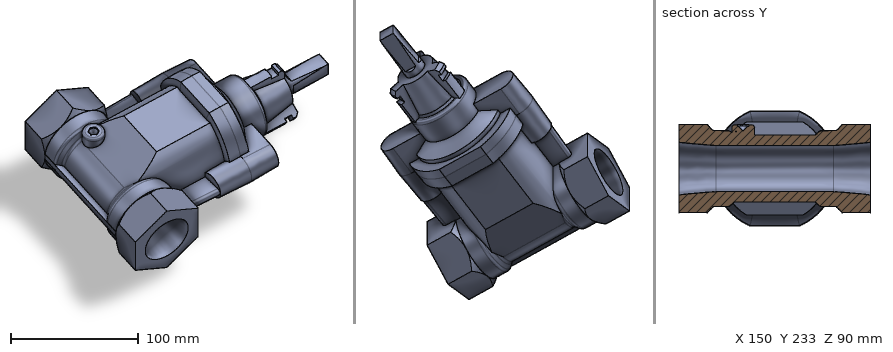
import cadquery as cq
import math

DRAFT = 2.0

END_FACE_X = 75.0
HEX_FLATS = 60.0
HEX_CIRCLE = HEX_FLATS / math.cos(math.pi / 6)
HEX_INNER_X = 48.2
BORE_DIA = 35.9
MOUTH_DIA = 41.0
MOUTH_DEPTH = 29.1

COLLAR_RADIUS = 29.8
COLLAR_INNER_X = 36.8
PIPE_RADIUS = 25.0
NECK_BLEND_RADIUS = 3.7

BODY_RADIUS = 42.6
BODY_FLAT_Z = 36.3
SLOPE_TOP_Y = 27.3
SLOPE_FOOT_Y = -8.5

PARTING_Y = 90.0
FLANGE_RADIUS = 49.0
FLANGE_FLAT_Z = 45.0
FLANGE_TOP_Y = 98.0
FLANGE_BOTTOM_Y = 79.7
UNDERSIDE_HEIGHT = 1.6
LUG_X = 50.3
LUG_RADIUS = 12.3
LUG_TOP_Y = 116.5
LUG_END_OUTER_Y = 61.0
LUG_END_INNER_Y = 59.6

RIB_THICKNESS = 6.5
RIB_BOTTOM_Y = -COLLAR_RADIUS
RIB_INSET = 0.5

SHOULDER_RADIUS = 39.8
SHOULDER_Y = 101.8
NECK_RADIUS = 54.5 / 2
NECK_BOTTOM_Y = 109.3
NECK_TOP_Y = 131.0
NECK_ROUND = 2.8
CONE_FOOT_RADIUS = 22.4
CONE_BASE_RADIUS = 21.0
CONE_BASE_Y = 133.0
CONE_TOP_RADIUS = 16.3
CONE_TOP_Y = 162.0

FIN_COUNT = 3
FIN_WIDTH = 9.3
FIN_RADIUS = 26.8
FIN_BOTTOM_Y = 128.2
FIN_CHAMFER = 3.0
NOTCH_DEPTH = 3.5
NOTCH_TOP_Y = 156.0
NOTCH_BOTTOM_Y = 149.8

STEM_DIA = 18.0
STEM_TOP_Y = CONE_TOP_Y + 41.0
SQUARE_BASE_Y = 168.7
SQUARE_BASE_WIDTH = 15.1
SQUARE_SHOULDER = 1.5
SQUARE_TOP_WIDTH = 12.3

PLUG_X = -24.7
PLUG_DIA = 18.0
PLUG_TOP_Z = 34.5
PLUG_ROUND = 2.3
SOCKET_CIRCLE = 8.6
SOCKET_DEPTH = 1.2


def both_ends(solid):
    """Add the mirror image across the YZ plane."""
    return solid.union(solid.mirror("YZ"))


def round_with_flats(plane, radius, flat):
    """Circle on the plane, cut by straight flats at the given height on both sides."""
    half = math.sqrt(radius**2 - flat**2)
    return (
        plane.moveTo(-half, flat)
        .lineTo(half, flat)
        .threePointArc((radius, 0), (half, -flat))
        .lineTo(-half, -flat)
        .threePointArc((-radius, 0), (-half, flat))
        .close()
    )


def plane_down_from(y):
    """Plane across the stem axis, extruding toward -Y."""
    return cq.Workplane("XZ", origin=(0, y, 0))


def turn_over(solid):
    """Reflect a solid across the parting plane."""
    return solid.mirror("XZ", (0, PARTING_Y, 0))


def hex_end():
    """Right-hand hexagon, its inner corners turned off at 45 degrees."""
    length = END_FACE_X - HEX_INNER_X
    prism = (
        cq.Workplane("YZ", origin=(HEX_INNER_X, 0, 0))
        .transformed(rotate=(0, 0, 90))
        .polygon(6, HEX_CIRCLE)
        .extrude(length)
    )
    flat_radius = HEX_FLATS / 2
    turned = (
        cq.Workplane("XY")
        .polyline([
            (HEX_INNER_X, 0),
            (HEX_INNER_X, flat_radius),
            (END_FACE_X, flat_radius + length),
            (END_FACE_X, 0),
        ])
        .close()
        .revolve(360, (0, 0), (1, 0))
    )
    return prism.intersect(turned)


def half_pipe():
    """Right-hand half of the pipe, stepping up to the collar through two arcs."""
    reach = NECK_BLEND_RADIUS * math.sin(math.pi / 4)
    drop = NECK_BLEND_RADIUS - reach
    mid_reach = NECK_BLEND_RADIUS * math.sin(math.pi / 8)
    mid_drop = NECK_BLEND_RADIUS * (1 - math.cos(math.pi / 8))
    run = COLLAR_RADIUS - PIPE_RADIUS - 2 * drop
    pipe_end_x = COLLAR_INNER_X - 2 * reach - run
    return (
        cq.Workplane("XY")
        .lineTo(0, PIPE_RADIUS)
        .lineTo(pipe_end_x, PIPE_RADIUS)
        .threePointArc(
            (pipe_end_x + mid_reach, PIPE_RADIUS + mid_drop),
            (pipe_end_x + reach, PIPE_RADIUS + drop),
        )
        .lineTo(COLLAR_INNER_X - reach, COLLAR_RADIUS - drop)
        .threePointArc(
            (COLLAR_INNER_X - mid_reach, COLLAR_RADIUS - mid_drop),
            (COLLAR_INNER_X, COLLAR_RADIUS),
        )
        .lineTo(HEX_INNER_X, COLLAR_RADIUS)
        .lineTo(HEX_INNER_X, 0)
        .close()
        .revolve(360, (0, 0), (1, 0))
    )


def half_bore():
    """Right-hand half of the bore with its tapered mouth."""
    return (
        cq.Workplane("XY")
        .polyline([
            (0, 0),
            (0, BORE_DIA / 2),
            (END_FACE_X - MOUTH_DEPTH, BORE_DIA / 2),
            (END_FACE_X, MOUTH_DIA / 2),
            (END_FACE_X, 0),
        ])
        .close()
        .revolve(360, (0, 0), (1, 0))
    )


def body():
    """Round body with two flats that slope in to the pipe."""
    foot_z = math.sqrt(PIPE_RADIUS**2 - SLOPE_FOOT_Y**2)
    side = (
        cq.Workplane("YZ")
        .polyline([
            (PARTING_Y, BODY_FLAT_Z),
            (SLOPE_TOP_Y, BODY_FLAT_Z),
            (SLOPE_FOOT_Y, foot_z),
            (SLOPE_FOOT_Y, -foot_z),
            (SLOPE_TOP_Y, -BODY_FLAT_Z),
            (PARTING_Y, -BODY_FLAT_Z),
        ])
        .close()
        .extrude(BODY_RADIUS, both=True)
    )
    barrel = plane_down_from(PARTING_Y).circle(BODY_RADIUS).extrude(PARTING_Y - SLOPE_FOOT_Y)
    return barrel.intersect(side)


def flange():
    """Round flange with two flats, drafted both ways, with a shallow sloping underside."""
    lower_height = PARTING_Y - FLANGE_BOTTOM_Y
    outline = round_with_flats(plane_down_from(PARTING_Y), FLANGE_RADIUS, FLANGE_FLAT_Z)
    lower = outline.extrude(lower_height, taper=DRAFT)
    outline = round_with_flats(plane_down_from(PARTING_Y), FLANGE_RADIUS, FLANGE_FLAT_Z)
    upper = turn_over(outline.extrude(FLANGE_TOP_Y - PARTING_Y, taper=DRAFT))
    draft_inset = lower_height * math.tan(math.radians(DRAFT))
    rim_flat_z = FLANGE_FLAT_Z - draft_inset
    slope = math.degrees(math.atan2(rim_flat_z - BODY_FLAT_Z, UNDERSIDE_HEIGHT))
    rim = round_with_flats(plane_down_from(FLANGE_BOTTOM_Y), FLANGE_RADIUS - draft_inset, rim_flat_z)
    underside = rim.extrude(UNDERSIDE_HEIGHT, taper=slope)
    return lower.union(upper).union(underside)


def lugs():
    """Round-ended bar above the parting plane and one round lug below each of its ends."""
    bar = turn_over(
        plane_down_from(PARTING_Y)
        .slot2D(2 * (LUG_X + LUG_RADIUS), 2 * LUG_RADIUS)
        .extrude(LUG_TOP_Y - PARTING_Y, taper=DRAFT)
    )
    lug = (
        plane_down_from(PARTING_Y)
        .center(LUG_X, 0)
        .circle(LUG_RADIUS)
        .extrude(PARTING_Y - LUG_END_INNER_Y, taper=DRAFT)
    )
    keep = (
        cq.Workplane("XY")
        .polyline([
            (LUG_X - LUG_RADIUS, PARTING_Y),
            (LUG_X - LUG_RADIUS, LUG_END_INNER_Y),
            (BODY_RADIUS, LUG_END_INNER_Y),
            (LUG_X + LUG_RADIUS, LUG_END_OUTER_Y),
            (LUG_X + LUG_RADIUS, PARTING_Y),
        ])
        .close()
        .extrude(LUG_RADIUS, both=True)
    )
    return bar.union(both_ends(lug.intersect(keep)))


def rib():
    """Flat rib from the pipe underside to the lugs, its outer edges fully rounded."""
    round_radius = RIB_THICKNESS / 2
    top_x = LUG_X + LUG_RADIUS - RIB_INSET - round_radius
    lean = PARTING_Y * math.tan(math.radians(DRAFT))
    base_x = top_x - lean
    plate = (
        cq.Workplane("XY")
        .polyline([
            (-HEX_INNER_X, RIB_BOTTOM_Y),
            (HEX_INNER_X, RIB_BOTTOM_Y),
            (HEX_INNER_X, 0),
            (base_x, 0),
            (top_x, PARTING_Y),
            (-top_x, PARTING_Y),
            (-base_x, 0),
            (-HEX_INNER_X, 0),
        ])
        .close()
        .extrude(round_radius, both=True)
    )
    edge = cq.Solid.makeCylinder(
        round_radius,
        math.hypot(PARTING_Y, lean),
        pnt=cq.Vector(base_x, 0, 0),
        dir=cq.Vector(lean, PARTING_Y, 0),
    )
    return plate.union(both_ends(cq.Workplane(edge)))


def bonnet():
    """Turned bonnet: shoulder, neck and tapered nose."""
    round_mid = NECK_ROUND * (1 - math.cos(math.pi / 4))
    return (
        cq.Workplane("XY")
        .moveTo(0, PARTING_Y)
        .lineTo(SHOULDER_RADIUS, PARTING_Y)
        .lineTo(SHOULDER_RADIUS, SHOULDER_Y)
        .lineTo(NECK_RADIUS, NECK_BOTTOM_Y)
        .lineTo(NECK_RADIUS, NECK_TOP_Y - NECK_ROUND)
        .threePointArc(
            (NECK_RADIUS - round_mid, NECK_TOP_Y - round_mid),
            (NECK_RADIUS - NECK_ROUND, NECK_TOP_Y),
        )
        .lineTo(CONE_FOOT_RADIUS, NECK_TOP_Y)
        .lineTo(CONE_BASE_RADIUS, CONE_BASE_Y)
        .lineTo(CONE_TOP_RADIUS, CONE_TOP_Y)
        .lineTo(0, CONE_TOP_Y)
        .close()
        .revolve(360, (0, 0), (0, 1))
    )


def fins():
    """Notched latch fins with turned outer faces, equally spaced about the stem with one toward +Z."""
    notch_floor = FIN_RADIUS - NOTCH_DEPTH
    fin = (
        cq.Workplane("YZ")
        .polyline([
            (FIN_BOTTOM_Y, 0),
            (FIN_BOTTOM_Y, FIN_RADIUS),
            (NOTCH_BOTTOM_Y, FIN_RADIUS),
            (NOTCH_BOTTOM_Y, notch_floor),
            (NOTCH_TOP_Y, notch_floor),
            (NOTCH_TOP_Y, FIN_RADIUS),
            (CONE_TOP_Y - FIN_CHAMFER, FIN_RADIUS),
            (CONE_TOP_Y, FIN_RADIUS - FIN_CHAMFER),
            (CONE_TOP_Y, 0),
        ])
        .close()
        .extrude(FIN_WIDTH / 2, both=True)
    )
    ring = fin
    for index in range(1, FIN_COUNT):
        ring = ring.union(fin.rotate((0, 0, 0), (0, 1, 0), index * 360 / FIN_COUNT))
    turned = plane_down_from(CONE_TOP_Y).circle(FIN_RADIUS).extrude(CONE_TOP_Y - FIN_BOTTOM_Y)
    return ring.intersect(turned)


def stem():
    """Round stem with a tapered square end above four sloping shoulders."""
    shoulder_y = SQUARE_BASE_Y - SQUARE_SHOULDER
    shank = plane_down_from(STEM_TOP_Y).circle(STEM_DIA / 2).extrude(STEM_TOP_Y - NECK_TOP_Y)
    square = (
        plane_down_from(STEM_TOP_Y)
        .rect(SQUARE_TOP_WIDTH, SQUARE_TOP_WIDTH)
        .workplane(offset=STEM_TOP_Y - SQUARE_BASE_Y)
        .rect(SQUARE_BASE_WIDTH, SQUARE_BASE_WIDTH)
        .workplane(offset=SQUARE_SHOULDER)
        .rect(STEM_DIA, STEM_DIA)
        .loft(ruled=True)
    )
    below = plane_down_from(shoulder_y).rect(STEM_DIA, STEM_DIA).extrude(shoulder_y - NECK_TOP_Y)
    return shank.intersect(square.union(below))


def plug():
    """Plug screw with a rounded rim and a hexagon socket ending in a drill point."""
    socket_flat_radius = SOCKET_CIRCLE / 2 * math.cos(math.pi / 6)
    screw = (
        cq.Workplane("XY", origin=(PLUG_X, 0, BORE_DIA / 2))
        .circle(PLUG_DIA / 2)
        .extrude(PLUG_TOP_Z - BORE_DIA / 2)
        .faces(">Z")
        .edges()
        .fillet(PLUG_ROUND)
    )
    socket = (
        cq.Workplane("XY", origin=(PLUG_X, 0, PLUG_TOP_Z))
        .polygon(6, SOCKET_CIRCLE)
        .extrude(-SOCKET_DEPTH)
    )
    point = cq.Solid.makeCone(
        socket_flat_radius,
        0,
        socket_flat_radius,
        pnt=cq.Vector(PLUG_X, 0, PLUG_TOP_Z - SOCKET_DEPTH),
        dir=cq.Vector(0, 0, -1),
    )
    return screw.cut(socket).cut(cq.Workplane(point))


result = (
    both_ends(half_pipe().union(hex_end()))
    .union(body())
    .union(flange())
    .union(lugs())
    .union(rib())
    .union(bonnet())
    .union(fins())
    .union(stem())
    .union(plug())
    .cut(both_ends(half_bore()))
)